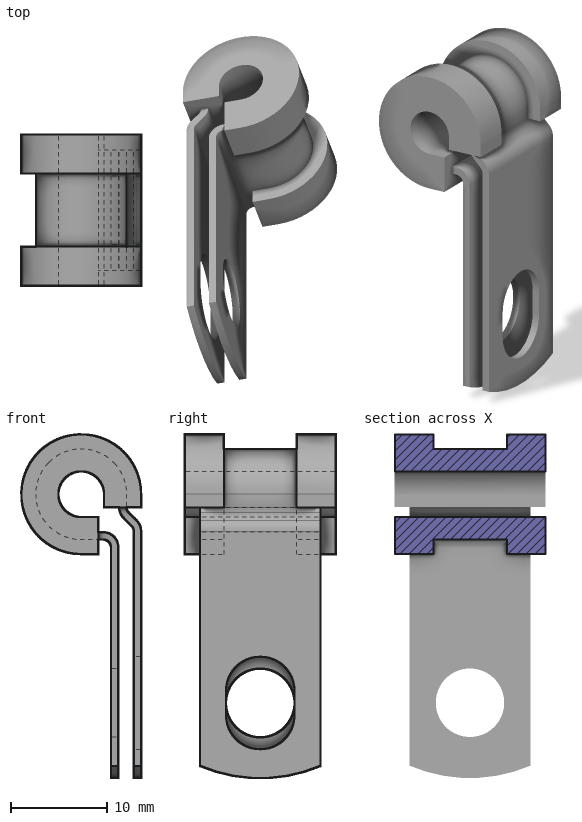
import cadquery as cq
import math

total_height = 35.8
cushion_diameter = 12.5
cushion_length = 15.75
bore_radius = 2.35
flange_length = 4.08
upper_lip_drop = 1.35
lower_lip_reach = 1.8

strap_thickness = 0.8
strap_width = 12.55
strap_outer_radius = 4.73
inner_leg_outer_x = 3.85
bend_inner_radius = 0.8
joggle_angle = math.radians(45)

leg_end_bow = 1.3
hole_diameter = 7.12
hole_height_above_end = 7.85
slot_length = 9.63

diagonal = math.sqrt(0.5)
flange_radius = cushion_diameter / 2
leg_bottom_z = flange_radius - total_height
strap_mid_radius = strap_outer_radius - strap_thickness / 2
bend_radius = bend_inner_radius + strap_thickness / 2
inner_leg_x = inner_leg_outer_x - strap_thickness / 2
outer_leg_x = flange_radius - strap_thickness / 2


def open_loop(outer_radius, length):
    """C-shaped ring centred on Y, with straight lips at both ends."""
    return (
        cq.Workplane("XZ")
        .moveTo(outer_radius, -upper_lip_drop)
        .lineTo(outer_radius, 0)
        .threePointArc((-outer_radius * diagonal, outer_radius * diagonal), (0, -outer_radius))
        .lineTo(lower_lip_reach, -outer_radius)
        .lineTo(lower_lip_reach, -bore_radius)
        .lineTo(0, -bore_radius)
        .threePointArc((-bore_radius * diagonal, bore_radius * diagonal), (bore_radius, 0))
        .lineTo(bore_radius, -upper_lip_drop)
        .close()
        .extrude(length / 2, both=True)
    )


def strap():
    """Sheet strap swept up the inner leg, around the loop and down the outer leg."""
    bend_x = inner_leg_x - bend_radius
    bend_z = -strap_mid_radius - bend_radius

    bend_shift = bend_radius * (1 - math.cos(joggle_angle))
    bend_drop = bend_radius * math.sin(joggle_angle)
    half_shift = bend_radius * (1 - math.cos(joggle_angle / 2))
    half_drop = bend_radius * math.sin(joggle_angle / 2)
    slope_run = outer_leg_x - strap_mid_radius - 2 * bend_shift
    slope_drop = slope_run / math.tan(joggle_angle)
    joggle_top = -upper_lip_drop
    joggle_bottom = joggle_top - 2 * bend_drop - slope_drop

    path = (
        cq.Workplane("XZ")
        .moveTo(inner_leg_x, leg_bottom_z)
        .lineTo(inner_leg_x, bend_z)
        .threePointArc(
            (bend_x + bend_radius * diagonal, bend_z + bend_radius * diagonal),
            (bend_x, -strap_mid_radius),
        )
        .lineTo(0, -strap_mid_radius)
        .threePointArc(
            (-strap_mid_radius * diagonal, strap_mid_radius * diagonal),
            (strap_mid_radius, 0),
        )
        .lineTo(strap_mid_radius, joggle_top)
        .threePointArc(
            (strap_mid_radius + half_shift, joggle_top - half_drop),
            (strap_mid_radius + bend_shift, joggle_top - bend_drop),
        )
        .lineTo(outer_leg_x - bend_shift, joggle_bottom + bend_drop)
        .threePointArc(
            (outer_leg_x - half_shift, joggle_bottom + half_drop),
            (outer_leg_x, joggle_bottom),
        )
        .lineTo(outer_leg_x, leg_bottom_z)
    )
    return (
        cq.Workplane("XY", origin=(inner_leg_x, 0, leg_bottom_z))
        .rect(strap_thickness, strap_width)
        .sweep(path)
    )


def leg_end_trim():
    """Waste below the bowed lower end of both legs."""
    half_width = strap_width / 2
    return (
        cq.Workplane("YZ")
        .moveTo(-half_width, leg_bottom_z + leg_end_bow)
        .threePointArc((0, leg_bottom_z), (half_width, leg_bottom_z + leg_end_bow))
        .lineTo(half_width, leg_bottom_z - leg_end_bow)
        .lineTo(-half_width, leg_bottom_z - leg_end_bow)
        .close()
        .extrude(cushion_diameter)
    )


def bolt_openings():
    """Round hole through both legs, lengthened to an upright slot in the outer leg."""
    hole_z = leg_bottom_z + hole_height_above_end
    between_legs_x = (inner_leg_x + outer_leg_x) / 2
    hole = (
        cq.Workplane("YZ")
        .center(0, hole_z)
        .circle(hole_diameter / 2)
        .extrude(cushion_diameter)
    )
    slot = (
        cq.Workplane("YZ", origin=(between_legs_x, 0, hole_z))
        .slot2D(slot_length, hole_diameter, angle=90)
        .extrude(cushion_diameter)
    )
    return hole.union(slot)


result = strap().cut(leg_end_trim()).cut(bolt_openings())
result = result.union(open_loop(strap_outer_radius, cushion_length - 2 * flange_length))
for side in (-1, 1):
    flange_y = side * (cushion_length - flange_length) / 2
    result = result.union(open_loop(flange_radius, flange_length).translate((0, flange_y, 0)))